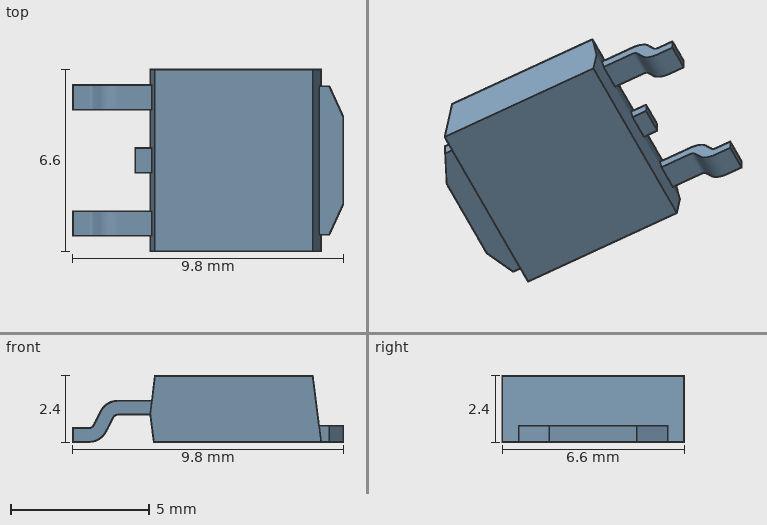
import cadquery as cq
import math

overall_length = 9.8

housing_width = 6.6
housing_height = 2.4
parting_height = 0.99
housing_front_x = 2.8
housing_front_bottom_x = 2.93
housing_front_top_x = 2.97
housing_back_top_x = 8.69
housing_back_bottom_x = 9.0

lead_width = 0.9
lead_thickness = 0.51
lead_offset = 2.28
foot_length = 0.58
bend_angle = math.radians(63)
bend_inner_radius = 0.2
bend_outer_radius = bend_inner_radius + lead_thickness
stub_start_x = 2.25
lead_top = parting_height + lead_thickness

tab_width = 5.39
tab_end_width = 3.17
tab_thickness = 0.6
tab_taper_length = 0.51

housing_middle_x = (housing_front_x + housing_back_bottom_x) / 2


def extrude_across(profile, width, center_y=0.0):
    """Extrude an XZ profile by width along Y, centred on center_y."""
    return profile.extrude(width / 2, both=True).translate((0, center_y, 0))


def make_housing():
    profile = cq.Workplane("XZ").polyline([
        (housing_front_bottom_x, 0),
        (housing_back_bottom_x, 0),
        (housing_back_top_x, housing_height),
        (housing_front_top_x, housing_height),
        (housing_front_x, parting_height),
    ]).close()
    return extrude_across(profile, housing_width)


def on_circle(center, radius, angle):
    """Point on a circle, with the angle measured from +Z towards -X."""
    return (center[0] - radius * math.sin(angle), center[1] + radius * math.cos(angle))


def make_lead(center_y, housing):
    """Gull-wing lead whose inner end lies flat on the housing's front face."""
    radius_sum = bend_inner_radius + bend_outer_radius
    straight_rise = parting_height - radius_sum * (1 - math.cos(bend_angle))
    slope_run = straight_rise / math.tan(bend_angle)
    upper_bend_x = foot_length + radius_sum * math.sin(bend_angle) + slope_run
    lower_center = (foot_length, bend_outer_radius)
    upper_center = (upper_bend_x, parting_height - bend_inner_radius)
    lower_end = math.pi + bend_angle
    lower_mid = math.pi + bend_angle / 2
    upper_mid = bend_angle / 2

    profile = (
        cq.Workplane("XZ")
        .moveTo(0, 0)
        .lineTo(foot_length, 0)
        .threePointArc(
            on_circle(lower_center, bend_outer_radius, lower_mid),
            on_circle(lower_center, bend_outer_radius, lower_end),
        )
        .lineTo(*on_circle(upper_center, bend_inner_radius, bend_angle))
        .threePointArc(
            on_circle(upper_center, bend_inner_radius, upper_mid),
            (upper_bend_x, parting_height),
        )
        .lineTo(housing_middle_x, parting_height)
        .lineTo(housing_middle_x, lead_top)
        .lineTo(upper_bend_x, lead_top)
        .threePointArc(
            on_circle(upper_center, bend_outer_radius, upper_mid),
            on_circle(upper_center, bend_outer_radius, bend_angle),
        )
        .lineTo(*on_circle(lower_center, bend_inner_radius, lower_end))
        .threePointArc(
            on_circle(lower_center, bend_inner_radius, lower_mid),
            (foot_length, lead_thickness),
        )
        .lineTo(0, lead_thickness)
        .close()
    )
    return extrude_across(profile, lead_width, center_y).cut(housing)


def make_middle_lead(housing):
    """Straight, cropped lead trimmed to the housing's front face."""
    profile = cq.Workplane("XZ").polyline([
        (stub_start_x, parting_height),
        (housing_middle_x, parting_height),
        (housing_middle_x, lead_top),
        (stub_start_x, lead_top),
    ]).close()
    return extrude_across(profile, lead_width).cut(housing)


def make_heat_tab(housing):
    """Tab with tapered outer corners, trimmed to the housing's back face."""
    taper_start_x = overall_length - tab_taper_length
    tab = cq.Workplane("XY").polyline([
        (housing_middle_x, -tab_width / 2),
        (taper_start_x, -tab_width / 2),
        (overall_length, -tab_end_width / 2),
        (overall_length, tab_end_width / 2),
        (taper_start_x, tab_width / 2),
        (housing_middle_x, tab_width / 2),
    ]).close().extrude(tab_thickness)
    return tab.cut(housing)


housing = make_housing()
leads = []
for side in (-1, 1):
    leads.append(make_lead(side * lead_offset, housing))
middle_lead = make_middle_lead(housing)
heat_tab = make_heat_tab(housing)

result = cq.Compound.makeCompound([
    housing.val(),
    *[lead.val() for lead in leads],
    middle_lead.val(),
    heat_tab.val(),
])